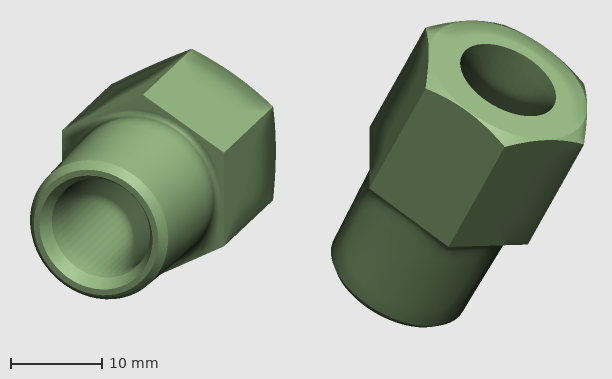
import cadquery as cq
import math

total_length = 30.4
across_flats = 19.0
across_corners = across_flats / math.cos(math.radians(30))

hex_length = 16.0
hex_chamfer_angle = 30
hex_face_diameter = 18.85

spigot_length = total_length - hex_length
root_diameter = 17.02
tip_diameter = 16.17
tip_chamfer_length = 0.9
tip_face_diameter = 14.6
root_fillet = 0.6

bore_diameter = 11.5
countersink_diameter = 13.22
countersink_angle = 30
countersink_depth = (countersink_diameter - bore_diameter) / 2 / math.tan(math.radians(countersink_angle))


def revolve_about_y(profile):
    """Revolve a closed XY profile of (radius, y) points about the Y axis."""
    return profile.close().revolve(360, (0, 0, 0), (0, 1, 0))


def make_hex_body():
    """Hexagonal prism with corners up and down and a chamfered rear end."""
    prism = (
        cq.Workplane("XZ", origin=(0, total_length, 0))
        .transformed(rotate=(0, 0, 90))
        .polygon(6, across_corners)
        .extrude(hex_length)
    )
    corner_radius = across_corners / 2
    face_radius = hex_face_diameter / 2
    chamfer_length = (corner_radius - face_radius) * math.tan(math.radians(hex_chamfer_angle))
    clearance = 0.3
    outer_radius = corner_radius + clearance
    cone_start = total_length - chamfer_length - clearance * math.tan(math.radians(hex_chamfer_angle))
    envelope = revolve_about_y(
        cq.Workplane("XY")
        .moveTo(0, spigot_length)
        .lineTo(outer_radius, spigot_length)
        .lineTo(outer_radius, cone_start)
        .lineTo(face_radius, total_length)
        .lineTo(0, total_length)
    )
    return prism.intersect(envelope)


def make_spigot():
    """Tapered spigot with a chamfered tip and a concave fillet at its root."""
    root_radius = root_diameter / 2
    fillet_start = spigot_length - root_fillet
    arc_offset = root_fillet * (1 - math.sqrt(0.5))
    return revolve_about_y(
        cq.Workplane("XY")
        .lineTo(tip_face_diameter / 2, 0)
        .lineTo(tip_diameter / 2, tip_chamfer_length)
        .lineTo(root_radius, fillet_start)
        .threePointArc(
            (root_radius + arc_offset, spigot_length - arc_offset),
            (root_radius + root_fillet, spigot_length),
        )
        .lineTo(0, spigot_length)
    )


def make_bore():
    """Cutter for the through bore and its countersink."""
    return revolve_about_y(
        cq.Workplane("XY")
        .lineTo(countersink_diameter / 2, 0)
        .lineTo(bore_diameter / 2, countersink_depth)
        .lineTo(bore_diameter / 2, total_length)
        .lineTo(0, total_length)
    )


result = make_hex_body().union(make_spigot()).cut(make_bore())